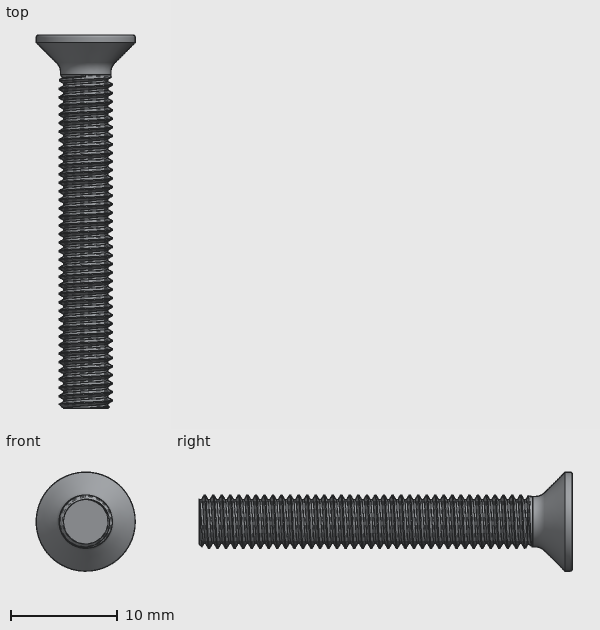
import cadquery as cq
import math

length = 35.0

head_radius = 4.65
rim_round_radius = 0.25
rim_bottom_depth = 0.7

neck_radius = 2.38
neck_fillet_radius = 1.15
neck_end_depth = 3.7
neck_taper_end_depth = 4.27
neck_taper_end_radius = 2.03

cone_angle = math.radians(45)
cone_end_radius = neck_radius + neck_fillet_radius * (1 - math.cos(cone_angle))
cone_end_depth = rim_bottom_depth + (head_radius - cone_end_radius) / math.tan(cone_angle)
neck_fillet_end_depth = cone_end_depth + neck_fillet_radius * math.sin(cone_angle)

thread_diameter = 5.0
thread_radius = thread_diameter / 2
first_crest_depth = 4.65
last_crest_depth = 34.25
crest_turns = 37
pitch = (last_crest_depth - first_crest_depth) / crest_turns
sharp_height = pitch * math.sqrt(3) / 2
thread_height = sharp_height * 5 / 8
core_radius = thread_radius - thread_height
crest_width = pitch / 8
root_width = pitch / 4
groove_overrun = 0.05
full_thread_depth = 4.55
run_in_step = 0.07
run_in_radius = neck_radius - run_in_step
end_turns = 1.5
turns_per_piece = 2

tip_radius = 2.1
tip_bevel_height = thread_radius - tip_radius


def turn(outline):
    """Solid of revolution about the Y axis."""
    return outline.close().revolve(360, (0, 0, 0), (0, 1, 0))


def make_head_and_neck():
    """Countersunk head, filleted neck and the taper from neck to thread root."""
    rim_round_mid = (
        head_radius - rim_round_radius * (1 - math.sqrt(0.5)),
        -rim_round_radius * (1 - math.sqrt(0.5)),
    )
    neck_fillet_mid = (
        neck_radius + neck_fillet_radius * (1 - math.cos(cone_angle / 2)),
        -neck_fillet_end_depth + neck_fillet_radius * math.sin(cone_angle / 2),
    )
    return turn(
        cq.Workplane("XY")
        .lineTo(head_radius - rim_round_radius, 0)
        .threePointArc(rim_round_mid, (head_radius, -rim_round_radius))
        .lineTo(head_radius, -rim_bottom_depth)
        .lineTo(cone_end_radius, -cone_end_depth)
        .threePointArc(neck_fillet_mid, (neck_radius, -neck_fillet_end_depth))
        .lineTo(neck_radius, -neck_end_depth)
        .lineTo(neck_taper_end_radius, -neck_taper_end_depth)
        .lineTo(0, -neck_taper_end_depth)
    )


def make_thread_blank():
    """Shank before threading, with a run-in cone at the neck and a bevelled tip."""
    return turn(
        cq.Workplane("XY")
        .moveTo(0, -neck_fillet_end_depth)
        .lineTo(run_in_radius, -neck_fillet_end_depth)
        .lineTo(thread_radius, -full_thread_depth)
        .lineTo(thread_radius, -length + tip_bevel_height)
        .lineTo(tip_radius, -length)
        .lineTo(0, -length)
    )


def make_groove_piece(bottom_depth):
    """Short right-handed length of the thread groove, rising from bottom_depth."""
    root_half = root_width / 2
    mouth_half = (pitch - crest_width) / 2
    flank_slope = (mouth_half - root_half) / thread_height
    outer_half = mouth_half + groove_overrun * flank_slope
    outer_radius = thread_radius + groove_overrun
    corners = [
        (core_radius, -root_half),
        (core_radius, root_half),
        (outer_radius, outer_half),
        (outer_radius, -outer_half),
    ]
    helices = [
        cq.Wire.makeHelix(
            pitch,
            turns_per_piece * pitch,
            radius,
            center=cq.Vector(0, offset - bottom_depth, 0),
            dir=cq.Vector(0, 1, 0),
        )
        for radius, offset in corners
    ]
    next_helices = helices[1:] + helices[:1]
    sides = [cq.Face.makeRuledSurface(first, second) for first, second in zip(helices, next_helices)]
    caps = [
        cq.Face.makeFromWires(cq.Wire.makePolygon(points, close=True))
        for points in ([h.startPoint() for h in helices], [h.endPoint() for h in helices])
    ]
    return cq.Solid.makeSolid(cq.Shell.makeShell(sides + caps))


def make_groove_pieces():
    """End-to-end pieces of one continuous groove, from beyond the tip into the neck."""
    bottom_depth = last_crest_depth + pitch / 4 + end_turns * pitch
    piece_count = math.ceil((crest_turns + 2 * end_turns) / turns_per_piece)
    piece = make_groove_piece(bottom_depth)
    return [
        piece.translate(cq.Vector(0, index * turns_per_piece * pitch, 0))
        for index in range(piece_count)
    ]


threaded_shank = make_thread_blank().val().cut(*make_groove_pieces())
screw = make_head_and_neck().union(cq.Workplane(obj=threaded_shank))
result = screw.solids()